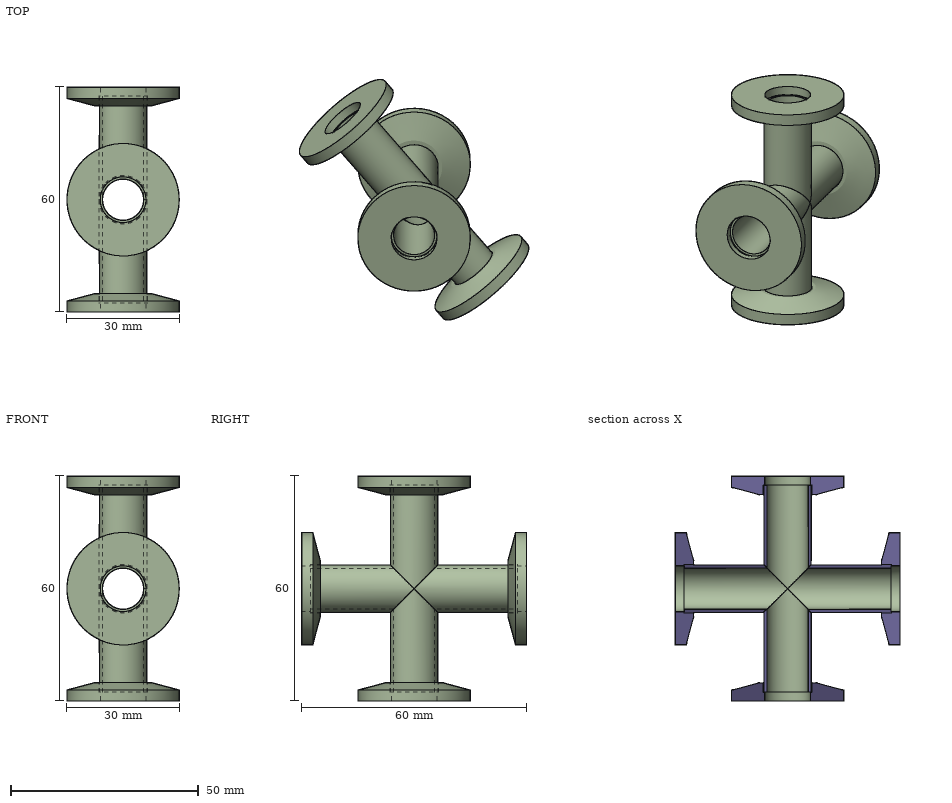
import cadquery as cq
import math

overall_length = 60.0
arm_length = overall_length / 2

flange_diameter = 30.0
rim_thickness = 3.0
hub_diameter = 15.1
back_cone_angle = 15.0
back_cone_height = (flange_diameter - hub_diameter) / 2 * math.tan(math.radians(back_cone_angle))
flange_thickness = rim_thickness + back_cone_height
flange_bore_diameter = 12.2
socket_diameter = 12.9
bore_depth = 2.4

tube_diameter = 12.7
tube_bore_diameter = 10.9
tube_end = arm_length - bore_depth

arm_count = 4
arm_angles = [i * 360 / arm_count for i in range(arm_count)]


def make_flange():
    """Flange on the +Z arm: revolved section with a stepped bore that receives the tube."""
    face = arm_length
    rim_back = face - rim_thickness
    back = face - flange_thickness
    shoulder = face - bore_depth
    return (
        cq.Workplane("XZ")
        .moveTo(flange_bore_diameter / 2, face)
        .lineTo(flange_diameter / 2, face)
        .lineTo(flange_diameter / 2, rim_back)
        .lineTo(hub_diameter / 2, back)
        .lineTo(socket_diameter / 2, back)
        .lineTo(socket_diameter / 2, shoulder)
        .lineTo(flange_bore_diameter / 2, shoulder)
        .close()
        .revolve(360, (0, 0, 0), (0, 1, 0))
    )


def make_tube():
    """Tube on the +Z arm, mitred at its inner end by the planes z = y and z = -y."""
    pipe = (
        cq.Workplane("XY")
        .circle(tube_diameter / 2)
        .circle(tube_bore_diameter / 2)
        .extrude(tube_end)
    )
    mitre_wedge = (
        cq.Workplane("YZ")
        .moveTo(0, 0)
        .lineTo(tube_end, tube_end)
        .lineTo(-tube_end, tube_end)
        .close()
        .extrude(tube_diameter, both=True)
    )
    return pipe.intersect(mitre_wedge)


def place_on_arm(body, angle):
    """Turn a body from the +Z arm onto another arm, about the X axis."""
    return body.rotate((0, 0, 0), (1, 0, 0), angle)


flanges = []
tubes = []
for arm_angle in arm_angles:
    flanges.append(place_on_arm(make_flange(), arm_angle).val())
    tubes.append(place_on_arm(make_tube(), arm_angle).solids().val())

result = cq.Compound.makeCompound([*flanges, *tubes])